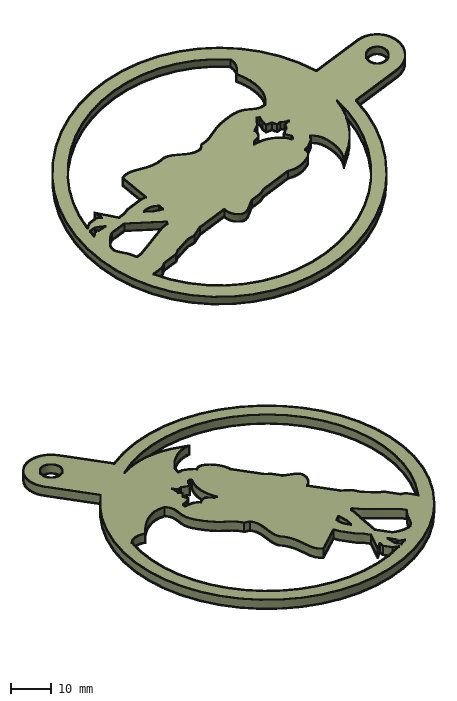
import cadquery as cq

thickness = 2.8
total_length = 103.9
ring_radius = 41.5
ring_width = 3.8
tab_width = 13.9
hole_diameter = 5.6

ring_inner_radius = ring_radius - ring_width
ring_mid_radius = ring_radius - ring_width / 2
tab_radius = tab_width / 2
tab_center_y = total_length - ring_radius - tab_radius


def make_ring():
    return cq.Workplane("XY").circle(ring_radius).circle(ring_inner_radius).extrude(thickness)


def make_tab():
    """Round-ended tab, rooted inside the ring band and pierced for hanging."""
    return (
        cq.Workplane("XY")
        .moveTo(-tab_radius, ring_mid_radius)
        .lineTo(-tab_radius, tab_center_y)
        .threePointArc((0, tab_center_y + tab_radius), (tab_radius, tab_center_y))
        .lineTo(tab_radius, ring_mid_radius)
        .close()
        .extrude(thickness)
        .faces(">Z")
        .workplane(origin=(0, tab_center_y, 0))
        .hole(hole_diameter)
    )


def make_couple():
    """Silhouette of the couple and umbrella, anchored in the ring at top and bottom."""
    outline = cq.Workplane("XY").moveTo(-25.5, 28.5)
    outline = outline.lineTo(-23.9, 28.5)
    outline = outline.threePointArc((-21.9, 27.8), (-20.3, 26.1))
    outline = outline.spline([(-15.4, 27.0), (-10.9, 26.3), (-8.1, 24.2)], includeCurrent=True)
    outline = outline.spline(
        [(-8.3, 22.0), (-10.5, 18.9), (-11.4, 14.2), (-10.9, 9.6), (-9.8, 5.5), (-9.8, 3.4)],
        includeCurrent=True,
    )
    outline = outline.lineTo(-8.8, 2.2)
    outline = outline.spline([(-9.6, -0.6), (-11.4, -3.1), (-13.2, -6.5)], includeCurrent=True)
    outline = outline.spline(
        [(-13.3, -9.6), (-14.4, -12.7), (-15.6, -15.2), (-15.9, -17.0), (-15.6, -18.4)],
        includeCurrent=True,
    )
    outline = outline.lineTo(-7.1, -18.8)
    outline = outline.polyline(
        [(-7.4, -20.5), (-7.4, -24.8), (-7.0, -26.5), (-7.0, -28.4), (-12.4, -31.5), (-9.9, -31.4)],
        includeCurrent=True,
    )
    outline = outline.polyline([(-10.8, -32.4), (-10.8, -34.9), (-9.7, -36.9)], includeCurrent=True)
    outline = outline.threePointArc((0, -ring_mid_radius), (12.5, -36.9))
    outline = outline.polyline(
        [(12.5, -32.4), (11.7, -31.2), (11.7, -26.9), (11.1, -25.8), (10.3, -21.4), (10.5, -19.2)],
        includeCurrent=True,
    )
    outline = outline.polyline([(9.6, -16.4), (9.6, -7.8)], includeCurrent=True)
    outline = outline.spline(
        [(13.0, -6.8), (14.0, -5.0), (13.6, -3.4), (12.3, -0.8)], includeCurrent=True
    )
    outline = outline.polyline([(12.3, 2.1), (11.7, 3.7), (11.7, 12.4)], includeCurrent=True)
    outline = outline.spline(
        [(12.4, 13.9), (12.4, 17.7), (11.2, 19.9), (9.7, 20.5)], includeCurrent=True
    )
    outline = outline.polyline([(9.5, 21.7), (8.3, 23.9), (7.3, 24.5)], includeCurrent=True)
    outline = outline.spline([(9.0, 26.0), (12.5, 26.7), (15.4, 26.5), (19.0, 24.7)], includeCurrent=True)
    outline = outline.lineTo(17.9, 26.5)
    outline = outline.threePointArc((11.8, 33.7), (3.7, 37.5))
    outline = outline.lineTo(2.6, 38.4)
    outline = outline.threePointArc((-12.5, 37.2), (-25.5, 28.5))
    return outline.close().extrude(thickness)


def make_face_gap():
    """Star-like opening between the two faces."""
    return (
        cq.Workplane("XY")
        .moveTo(0, 24.4)
        .polyline(
            [(0.2, 22.6), (1.1, 22.3), (1.8, 21.3), (2.2, 20.4), (4.0, 21.3), (4.9, 21.0), (4.8, 20.5)],
            includeCurrent=True,
        )
        .spline([(2.4, 18.8), (0.6, 16.4), (-0.5, 12.8)], includeCurrent=True)
        .polyline([(-1.1, 13.3), (-1.5, 15.2)], includeCurrent=True)
        .threePointArc((-2.4, 15.9), (-3.6, 16.0))
        .polyline([(-4.6, 17.9), (-6.4, 19.4), (-5.9, 20.0)], includeCurrent=True)
        .polyline(
            [(-4.3, 19.4), (-3.0, 19.4), (-2.5, 21.0), (-1.1, 21.4), (-1.1, 22.5), (-0.3, 23.6)],
            includeCurrent=True,
        )
        .close()
        .extrude(thickness)
    )


def make_knee_gap():
    """Small sliver between the woman's knees."""
    return (
        cq.Workplane("XY")
        .moveTo(-2.7, -18.5)
        .lineTo(-1.1, -18.6)
        .lineTo(-2.5, -21.0)
        .lineTo(-3.9, -22.5)
        .threePointArc((-3.8, -20.4), (-2.7, -18.5))
        .close()
        .extrude(thickness)
    )


def make_leg_gap():
    """Large opening between the couple's legs."""
    return (
        cq.Workplane("XY")
        .moveTo(2.4, -20.9)
        .polyline(
            [(2.9, -21.2), (3.1, -23.6), (4.3, -28.0), (5.5, -33.0), (5.5, -34.4), (3.9, -34.9)],
            includeCurrent=True,
        )
        .spline([(1.9, -35.9), (-0.5, -36.9), (-2.5, -35.9), (-4.6, -33.1)], includeCurrent=True)
        .lineTo(-4.6, -28.8)
        .close()
        .extrude(thickness)
    )


def make_heel_gap():
    """Notch between the shoe heel and sole, running down into the ring."""
    return (
        cq.Workplane("XY")
        .moveTo(-7.3, -32.7)
        .polyline(
            [(-7.4, -35.0), (-8.0, -35.3), (-6.8, -37.4), (-8.9, -37.4), (-8.7, -34.9), (-8.0, -33.7)],
            includeCurrent=True,
        )
        .close()
        .extrude(thickness)
    )


couple = make_couple()
for gap in (make_face_gap(), make_knee_gap(), make_leg_gap(), make_heel_gap()):
    couple = couple.cut(gap)

result = make_ring().union(make_tab()).union(couple)